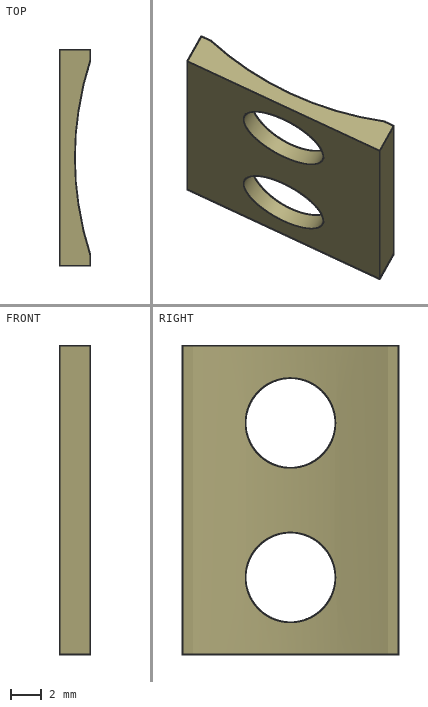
import cadquery as cq

thickness = 2.0
width = 14.0
height = 20.0

hollow_depth = 1.0
land_width = 0.7
hollow_half_width = width / 2 - land_width

hole_diameter = 5.8
hole_spacing = 10.0


def hollowed_plate():
    back = -thickness / 2
    front = thickness / 2
    return (
        cq.Workplane("XY")
        .moveTo(back, -width / 2)
        .lineTo(front, -width / 2)
        .lineTo(front, -hollow_half_width)
        .threePointArc((front - hollow_depth, 0), (front, hollow_half_width))
        .lineTo(front, width / 2)
        .lineTo(back, width / 2)
        .close()
        .extrude(height / 2, both=True)
    )


def hole_cutters():
    return (
        cq.Workplane("YZ")
        .pushPoints([(0, -hole_spacing / 2), (0, hole_spacing / 2)])
        .circle(hole_diameter / 2)
        .extrude(thickness, both=True)
    )


result = hollowed_plate().cut(hole_cutters())